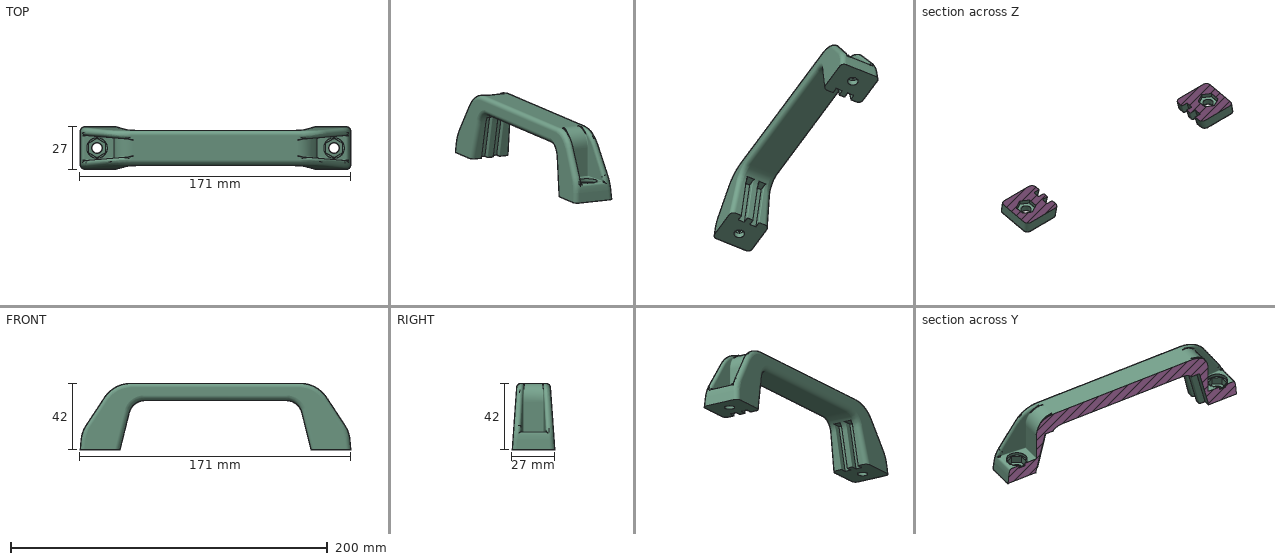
import cadquery as cq
import math

LENGTH = 171.0
WIDTH = 27.0
HEIGHT = 42.0
SIDE_DRAFT = math.radians(4.0)

FOOT_DRAFT = math.radians(5.0)
KNEE_HEIGHT = 11.2
SHOULDER_INSET = 21.2
FOOT_LENGTH = 25.2
LEG_ANGLE = math.radians(76.0)
GRIP_UNDERSIDE = 31.0
BACK_RADIUS = 20.0
ARMPIT_RADIUS = 10.0
SIDE_ROUNDING = 3.0

POCKET_FLOOR = 11.3
POCKET_BACK_INSET = 21.3
POCKET_FRONT_WIDTH = 16.4
POCKET_BACK_WIDTH = 12.8
RAMP_RADIUS = 12.0
RIM_ROUNDING = 1.8
CORNER_ROUNDING = 0.5

HOLE_SPACING = 149.7
HOLE_DIAMETER = 6.5
HEX_ACROSS_FLATS = 10.6
HEX_FLOOR = 4.3
COUNTERBORE_DIAMETER = 13.0
COUNTERBORE_DEPTH = 2.0

SLOT_WIDTH = 4.3
SLOT_RIB = 4.0
SLOT_DEPTH = 4.2
SLOT_TOP = 28.0
SLOT_ROUNDING = 0.5

CLEARANCE = 1.0

END_X = -LENGTH / 2
POCKET_BACK_X = END_X + POCKET_BACK_INSET
RAMP_END_X = POCKET_BACK_X + RAMP_RADIUS
RAMP_START_Z = HEIGHT - RAMP_RADIUS


def leg_inner_x(z):
    """X of the sloping inner face of the leg at height z."""
    return END_X + FOOT_LENGTH + z / math.tan(LEG_ANGLE)


def pocket_half_width(x):
    narrowing = (POCKET_FRONT_WIDTH - POCKET_BACK_WIDTH) / 2 / POCKET_BACK_INSET
    return POCKET_FRONT_WIDTH / 2 - narrowing * (x - END_X)


def edges_near(shape, points):
    """The edges whose centres lie closest to the given points."""
    found = [shape.edges(cq.NearestToPointSelector(point)).val() for point in points]
    return shape.newObject(found)


def half_body():
    """Bent bar with drafted, rounded sides."""
    heel = (END_X, 0)
    toe = (leg_inner_x(0), 0)
    armpit = (leg_inner_x(GRIP_UNDERSIDE), GRIP_UNDERSIDE)
    knee = (END_X + KNEE_HEIGHT * math.tan(FOOT_DRAFT), KNEE_HEIGHT)
    shoulder = (END_X + SHOULDER_INSET, HEIGHT)
    outline = [(0, GRIP_UNDERSIDE), armpit, toe, heel, knee, shoulder, (0, HEIGHT)]
    body = cq.Workplane("XZ").polyline(outline).close().extrude(WIDTH / 2, both=True)
    bends = ((knee, BACK_RADIUS), (shoulder, BACK_RADIUS), (armpit, ARMPIT_RADIUS))
    for (x, z), radius in bends:
        body = edges_near(body, [(x, 0, z)]).fillet(radius)

    top_width = WIDTH - 2 * HEIGHT * math.tan(SIDE_DRAFT)
    drafted_section = (
        cq.Workplane("YZ")
        .polyline([(-WIDTH / 2, 0), (WIDTH / 2, 0), (top_width / 2, HEIGHT), (-top_width / 2, HEIGHT)])
        .close()
        .extrude(END_X)
    )
    body = body.intersect(drafted_section)
    return body.faces("<Y or >Y").edges("not (<Z or >X)").fillet(SIDE_ROUNDING)


def pocket_channel():
    """Tapering channel with the pocket's floor and sides, running on past its ramp."""
    front = END_X - CLEARANCE
    rear = RAMP_END_X + CLEARANCE
    front_y = pocket_half_width(front)
    rear_y = pocket_half_width(rear)
    return (
        cq.Workplane("XY", origin=(0, 0, POCKET_FLOOR))
        .polyline([(front, -front_y), (rear, -rear_y), (rear, rear_y), (front, front_y)])
        .close()
        .extrude(HEIGHT)
    )


def pocket_backing():
    """Region behind the back wall and the curved ramp of the pocket."""
    return (
        cq.Workplane("XZ")
        .moveTo(0, 0)
        .lineTo(POCKET_BACK_X, 0)
        .lineTo(POCKET_BACK_X, RAMP_START_Z)
        .radiusArc((RAMP_END_X, HEIGHT), RAMP_RADIUS)
        .lineTo(0, HEIGHT)
        .close()
        .extrude(WIDTH / 2, both=True)
    )


def pocket_void():
    """Inside of the pocket, its inner corners rounded."""
    void = pocket_channel().cut(pocket_backing())
    floor_and_wall_region = cq.selectors.BoxSelector(
        (END_X, -WIDTH / 2, 0),
        (POCKET_BACK_X + CLEARANCE, WIDTH / 2, RAMP_START_Z - CLEARANCE),
    )
    corners = void.edges(floor_and_wall_region).add(void.edges("%ELLIPSE"))
    return corners.fillet(CORNER_ROUNDING)


def add_pocket(body):
    """Round the rim of the open channel, then fill it behind the back wall and ramp."""
    mid_x = END_X + SHOULDER_INSET / 2
    mid_z = (KNEE_HEIGHT + HEIGHT) / 2
    rim = [
        (END_X, 0, POCKET_FLOOR),
        (mid_x, -pocket_half_width(mid_x), mid_z),
        (mid_x, pocket_half_width(mid_x), mid_z),
    ]
    opened = edges_near(body.cut(pocket_channel()), rim).fillet(RIM_ROUNDING)
    corner_fill = pocket_channel().cut(pocket_void())
    filling = pocket_backing().union(corner_fill)
    return opened.union(body.intersect(filling))


def add_slots(body):
    """Slots parallel to the inner face of the leg, with rounded mouth edges."""
    middle_y = (SLOT_RIB + SLOT_WIDTH) / 2
    open_x = leg_inner_x(GRIP_UNDERSIDE) + CLEARANCE
    section = [
        (leg_inner_x(0) - SLOT_DEPTH, 0),
        (leg_inner_x(SLOT_TOP) - SLOT_DEPTH, SLOT_TOP),
        (open_x, SLOT_TOP),
        (open_x, 0),
    ]
    mouth_z = SLOT_TOP / 2
    mouth_edges = []
    for slot_y in (-middle_y, middle_y):
        slot = (
            cq.Workplane("XZ", origin=(0, slot_y, 0))
            .polyline(section)
            .close()
            .extrude(SLOT_WIDTH / 2, both=True)
        )
        body = body.cut(slot)
        for edge_y in (slot_y - SLOT_WIDTH / 2, slot_y + SLOT_WIDTH / 2):
            mouth_edges.append((leg_inner_x(mouth_z), edge_y, mouth_z))
    return edges_near(body, mouth_edges).fillet(SLOT_ROUNDING)


def add_screw_hole(body):
    """Through hole, hexagonal recess with corners along Y, and counterbore."""
    axis = cq.Workplane("XY", origin=(-HOLE_SPACING / 2, 0, 0))
    hole = axis.circle(HOLE_DIAMETER / 2).extrude(POCKET_FLOOR)
    across_corners = HEX_ACROSS_FLATS / math.cos(math.pi / 6)
    recess = (
        axis.workplane(offset=HEX_FLOOR)
        .transformed(rotate=(0, 0, 90))
        .polygon(6, across_corners)
        .extrude(POCKET_FLOOR - HEX_FLOOR)
    )
    counterbore = (
        axis.workplane(offset=POCKET_FLOOR - COUNTERBORE_DEPTH)
        .circle(COUNTERBORE_DIAMETER / 2)
        .extrude(COUNTERBORE_DEPTH)
    )
    return body.cut(hole).cut(recess).cut(counterbore)


half = add_screw_hole(add_slots(add_pocket(half_body())))
result = half.union(half.mirror("YZ"))